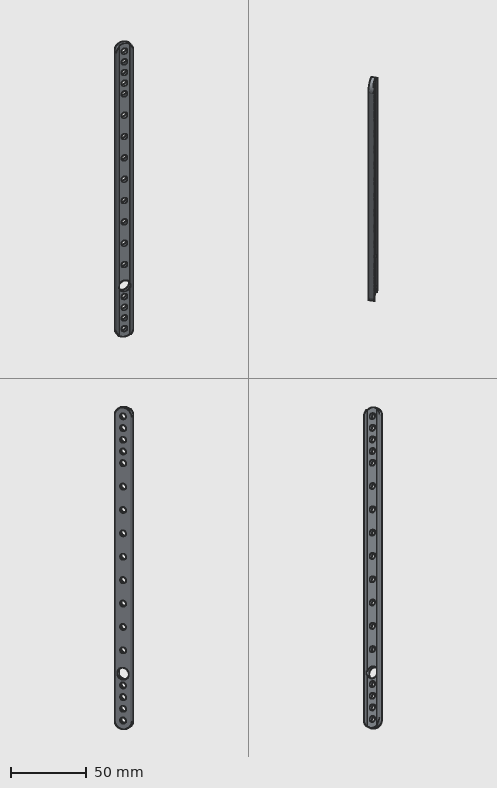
import cadquery as cq

length = 220.0
width = 12.0
depth = 4.0

web_thickness = 2.9
lip_width = 2.2
edge_radius = 0.5

end_radius = width / 2
pitch_count = 26
pitch = (length - 2 * end_radius) / pitch_count
small_hole_diameter = 4.2
large_hole_diameter = 8.1

large_hole_step = 4
lower_steps = list(range(0, large_hole_step))
middle_steps = list(range(6, 22, 2))
upper_steps = list(range(22, pitch_count + 1))


def channel_bar():
    """Straight bar with rounded outer edges and a shallow channel in its +X face."""
    bar = cq.Workplane("XY").box(depth, width, length, centered=(False, True, True))
    bar = bar.edges("|Z").fillet(edge_radius)
    channel_width = width - 2 * lip_width
    channel = (
        cq.Workplane("XY")
        .box(depth, channel_width, length, centered=(False, True, True))
        .translate((web_thickness, 0, 0))
    )
    bar = bar.cut(channel)
    mouth_edges = cq.selectors.BoxSelector(
        (depth - edge_radius / 2, -channel_width / 2 - edge_radius / 2, -length),
        (depth + edge_radius / 2, channel_width / 2 + edge_radius / 2, length),
    )
    return bar.edges("|Z").edges(mouth_edges).fillet(edge_radius)


def rounded_outline():
    """Solid with semicircular ends that trims the bar."""
    return cq.Workplane("YZ").slot2D(length, width, angle=90).extrude(depth)


def holes(steps, diameter):
    """Through-hole cutters at the given grid positions."""
    first_centre = -length / 2 + end_radius
    centres = [(0, first_centre + step * pitch) for step in steps]
    return cq.Workplane("YZ").pushPoints(centres).circle(diameter / 2).extrude(depth)


result = channel_bar().intersect(rounded_outline())
result = result.cut(holes(lower_steps + middle_steps + upper_steps, small_hole_diameter))
result = result.cut(holes([large_hole_step], large_hole_diameter))